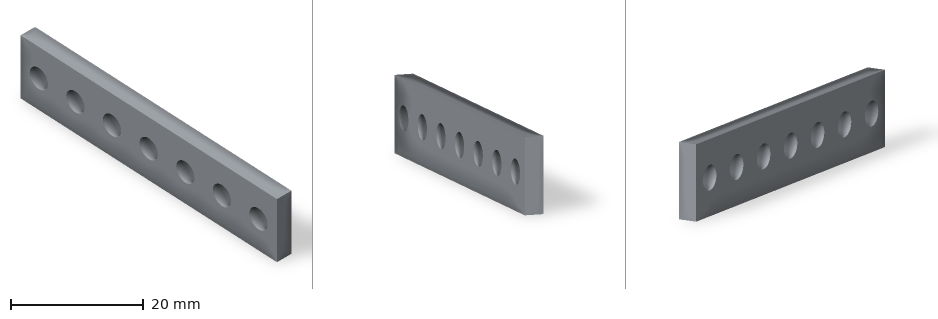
import cadquery as cq

length = 56.0
thickness = 3.0
height = 12.0

hole_count = 7
hole_diameter = 4.0
hole_pitch = length / hole_count

plate = cq.Workplane("XY").box(length, thickness, height)

result = (
    plate.faces("<Y")
    .workplane(centerOption="CenterOfBoundBox")
    .rarray(hole_pitch, 0.55, hole_count, 1)
    .hole(hole_diameter)
)